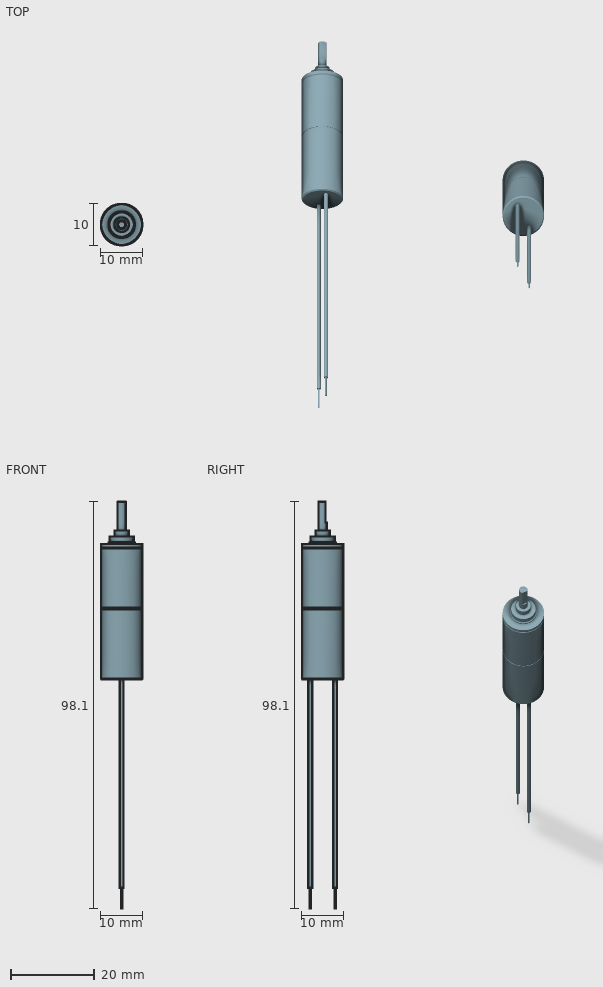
import cadquery as cq

case_diameter = 10.0
overall_length = 98.05
shaft_reach = 10.2
gearbox_length = 15.8
motor_length = 16.9

foot_diameter = 6.4
foot_height = 0.3
undercut_diameter = 5.4
undercut_width = 0.2
boss_diameter = 5.9
boss_top = 1.8
neck_diameter = 3.5
neck_top = 3.25

front_groove_top = -0.85
front_groove_width = 0.3
front_groove_depth = front_groove_width / 2
joint_groove_width = 0.5
joint_groove_depth = 0.1

shaft_diameter = 2.0
shaft_chamfer = 0.1
flat_length = 5.0
flat_distance = 0.75
shaft_seat_depth = gearbox_length / 2

motor_chamfer = 0.3
lead_spacing = 6.0
insulation_diameter = 1.0
conductor_diameter = 0.4
stripped_length = 5.0

motor_front = -gearbox_length
motor_rear = motor_front - motor_length
lead_end = shaft_reach - overall_length
insulation_end = lead_end + stripped_length


def cylinder(diameter, bottom, top):
    """Upright cylinder on the Z axis between two heights."""
    return cq.Workplane("XY").workplane(offset=bottom).circle(diameter / 2).extrude(top - bottom)


def v_groove(top, width, depth):
    """Ring of triangular section that cuts a V groove around the case."""
    case_radius = case_diameter / 2
    section = cq.Workplane("XZ").polyline([
        (case_radius, top),
        (case_radius - depth, top - width / 2),
        (case_radius, top - width),
    ]).close()
    return section.revolve(360, (0, 0, 0), (0, 1, 0))


def make_gearbox():
    joint_groove_top = motor_front + joint_groove_width
    boss_bottom = foot_height + undercut_width
    gearbox = cylinder(case_diameter, joint_groove_top, 0)
    gearbox = gearbox.cut(v_groove(front_groove_top, front_groove_width, front_groove_depth))

    collar_diameter = case_diameter - 2 * joint_groove_depth
    gearbox = gearbox.union(cylinder(collar_diameter, motor_front, joint_groove_top))

    gearbox = gearbox.union(cylinder(foot_diameter, 0, foot_height))
    gearbox = gearbox.union(cylinder(undercut_diameter, foot_height, boss_bottom))
    gearbox = gearbox.union(cylinder(boss_diameter, boss_bottom, boss_top))
    gearbox = gearbox.union(cylinder(neck_diameter, boss_top, neck_top))

    return gearbox.cut(cylinder(shaft_diameter, -shaft_seat_depth, neck_top))


def make_shaft():
    shaft = cylinder(shaft_diameter, -shaft_seat_depth, shaft_reach)
    shaft = shaft.faces(">Z").chamfer(shaft_chamfer)
    flat_cut = cq.Workplane("XY").box(
        shaft_diameter, shaft_diameter, flat_length, centered=(True, False, False)
    )
    flat_cut = flat_cut.translate((0, flat_distance, shaft_reach - flat_length))
    return shaft.cut(flat_cut)


def make_motor():
    motor = cylinder(case_diameter, motor_rear, motor_front)
    return motor.faces("<Z").chamfer(motor_chamfer)


def make_insulation(lead_y):
    sleeve = cylinder(insulation_diameter, insulation_end, motor_rear)
    bore = cylinder(conductor_diameter, insulation_end, motor_rear)
    return sleeve.cut(bore).translate((0, lead_y, 0))


def make_conductor(lead_y):
    return cylinder(conductor_diameter, lead_end, motor_rear).translate((0, lead_y, 0))


gearbox = make_gearbox()
shaft = make_shaft()
motor = make_motor()

lead_bodies = []
for side in (-1, 1):
    lead_y = side * lead_spacing / 2
    lead_bodies.append(make_insulation(lead_y).val())
    lead_bodies.append(make_conductor(lead_y).val())

main_bodies = [body.solids().val() for body in (gearbox, shaft, motor)]
result = cq.Compound.makeCompound([*main_bodies, *lead_bodies])